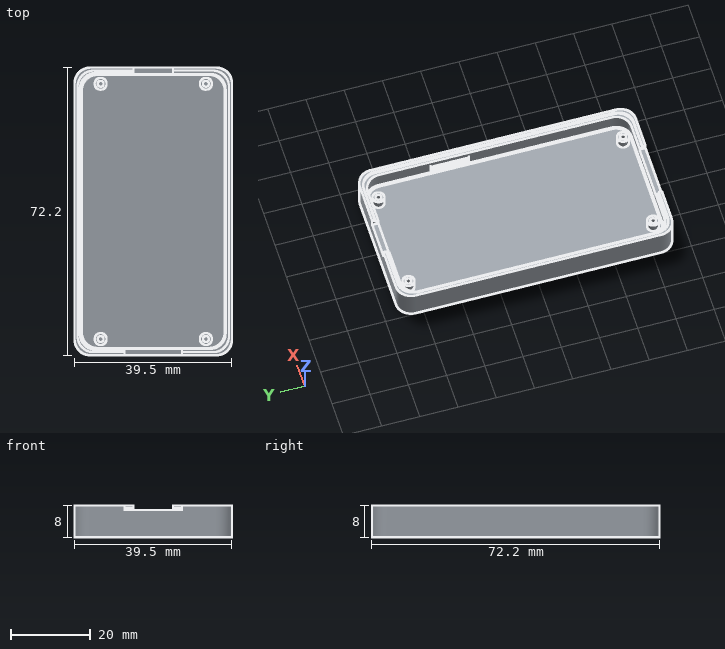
import cadquery as cq

WIDTH = 39.54
LENGTH = 72.19
HEIGHT = 8.0
CORNER_RADIUS = 4.0
WALL = 1.6
FLOOR = 2.6
FLOOR_CHAMFER = 0.3

LIP_WALL = 0.8
LIP_DEPTH = 0.6

LEDGE_Z = HEIGHT - LIP_DEPTH
LEDGE_CHAMFER = 0.3

BOSS_DIAMETER = 3.0
BOSS_HOLE_DIAMETER = 1.5
BOSS_HEIGHT = 2.5
BOSS_SPACING_X = 26.4
BOSS_SPACING_Y = 64.0

FRONT_NOTCH_WIDTH = 14.4
BACK_NOTCH_WIDTH = 9.8
FRONT_NOTCH_DEPTH = 1.1
BACK_NOTCH_DEPTH = 1.7

POCKET_LENGTH = 10.0
POCKET_HEIGHT = 1.9
POCKET_DEPTH = 0.8
POCKET_CHAMFER = 0.4
POCKET_CENTER_Y = 11.8
POCKET_BOTTOM_Z = 3.35


def rounded_block(inset, bottom, top, radius=CORNER_RADIUS):
    """Block inset from the outer walls, with rounded vertical corners."""
    return (
        cq.Workplane("XY")
        .workplane(offset=bottom)
        .rect(WIDTH - 2 * inset, LENGTH - 2 * inset)
        .extrude(top - bottom)
        .edges("|Z")
        .fillet(radius)
    )


def make_tray():
    """Open tray with a chamfered floor edge and a stepped rim."""
    shell = rounded_block(0, 0, HEIGHT)
    cavity = rounded_block(WALL, FLOOR, HEIGHT)
    cavity = cavity.faces("<Z").edges().chamfer(FLOOR_CHAMFER)
    rebate = rounded_block(LIP_WALL, LEDGE_Z, HEIGHT)
    return shell.cut(cavity).cut(rebate)


def chamfer_half_ledge(body):
    """Chamfer the inner edge of the ledge all along the -X half."""
    cutter = rounded_block(
        WALL - LEDGE_CHAMFER,
        LEDGE_Z - LEDGE_CHAMFER,
        HEIGHT,
        CORNER_RADIUS + LEDGE_CHAMFER,
    )
    cutter = cutter.faces("<Z").edges().chamfer(LEDGE_CHAMFER)
    half = cq.Workplane("XY").box(WIDTH, LENGTH, 2 * HEIGHT).translate((-WIDTH / 2, 0, 0))
    return body.cut(cutter.intersect(half))


def add_bosses(body):
    """Four hollow screw bosses standing on the floor."""
    bosses = (
        cq.Workplane("XY")
        .workplane(offset=FLOOR)
        .rect(BOSS_SPACING_X, BOSS_SPACING_Y, forConstruction=True)
        .vertices()
        .circle(BOSS_DIAMETER / 2)
        .circle(BOSS_HOLE_DIAMETER / 2)
        .extrude(BOSS_HEIGHT)
    )
    return body.union(bosses)


def cut_end_notch(body, width, depth, side):
    """Notch through an end wall; side is -1 for the -Y wall, 1 for the +Y wall."""
    notch = cq.Workplane("XY").box(width, WALL, depth)
    notch_y = side * (LENGTH - WALL) / 2
    return body.cut(notch.translate((0, notch_y, HEIGHT - depth / 2)))


def cut_wall_pocket(body):
    """Shallow pocket in the inner face of the +X wall, its lower back edge sloped."""
    pocket = cq.Workplane("XY").box(POCKET_DEPTH, POCKET_LENGTH, POCKET_HEIGHT)
    pocket = pocket.edges(">X and <Z").chamfer(POCKET_CHAMFER)
    pocket_x = WIDTH / 2 - WALL + POCKET_DEPTH / 2
    pocket_z = POCKET_BOTTOM_Z + POCKET_HEIGHT / 2
    return body.cut(pocket.translate((pocket_x, POCKET_CENTER_Y, pocket_z)))


result = make_tray()
result = chamfer_half_ledge(result)
result = add_bosses(result)
result = cut_end_notch(result, FRONT_NOTCH_WIDTH, FRONT_NOTCH_DEPTH, -1)
result = cut_end_notch(result, BACK_NOTCH_WIDTH, BACK_NOTCH_DEPTH, 1)
result = cut_wall_pocket(result)